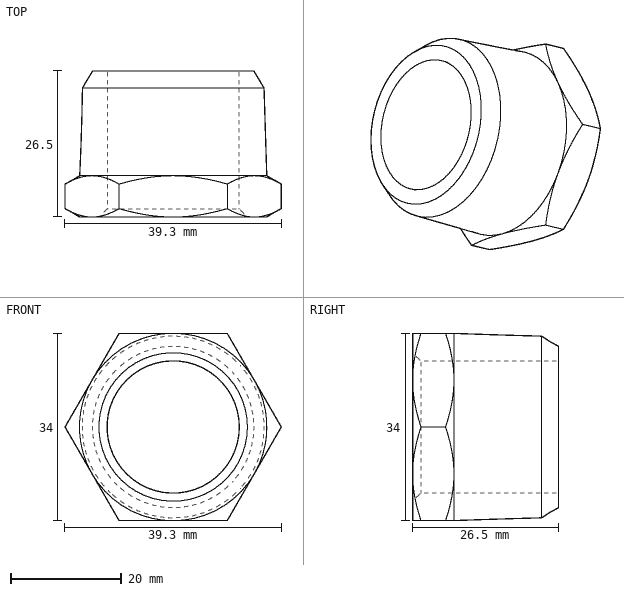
import cadquery as cq
import math

across_corners = 39.25
across_flats = across_corners * math.cos(math.radians(30))
total_length = 26.5
head_length = 7.5
head_chamfer_angle = 30.0

shank_base_radius = across_flats / 2
shank_taper = 1 / 16
end_chamfer_length = 3.1
end_radius = 14.65

bore_radius = 11.97
countersink_radius = 13.45
countersink_depth = countersink_radius - bore_radius


def revolve_about_y(points):
    """Revolve a closed (radius, y) outline about the Y axis."""
    outline = cq.Workplane("XY").polyline(points).close()
    return outline.revolve(360, (0, 0, 0), (0, 1, 0))


def make_head():
    """Hexagon with corners on X, its points chamfered at both ends."""
    hexagon = cq.Workplane("XZ").polygon(6, across_corners).extrude(-head_length)
    face_radius = across_flats / 2
    corner_radius = across_corners / 2
    rim_radius = corner_radius + 0.4
    chamfer = (rim_radius - face_radius) * math.tan(math.radians(head_chamfer_angle))
    envelope = revolve_about_y([
        (0, 0),
        (face_radius, 0),
        (rim_radius, chamfer),
        (rim_radius, head_length - chamfer),
        (face_radius, head_length),
        (0, head_length),
    ])
    return hexagon.intersect(envelope)


def make_shank():
    """Tapered shank with a chamfered free end."""
    taper_end = total_length - end_chamfer_length
    taper_end_radius = shank_base_radius - (taper_end - head_length) * shank_taper / 2
    return revolve_about_y([
        (0, head_length),
        (shank_base_radius, head_length),
        (taper_end_radius, taper_end),
        (end_radius, total_length),
        (0, total_length),
    ])


def make_bore():
    """Through bore with a countersink at the head face."""
    return revolve_about_y([
        (0, 0),
        (countersink_radius, 0),
        (bore_radius, countersink_depth),
        (bore_radius, total_length),
        (0, total_length),
    ])


result = make_head().union(make_shank()).cut(make_bore())